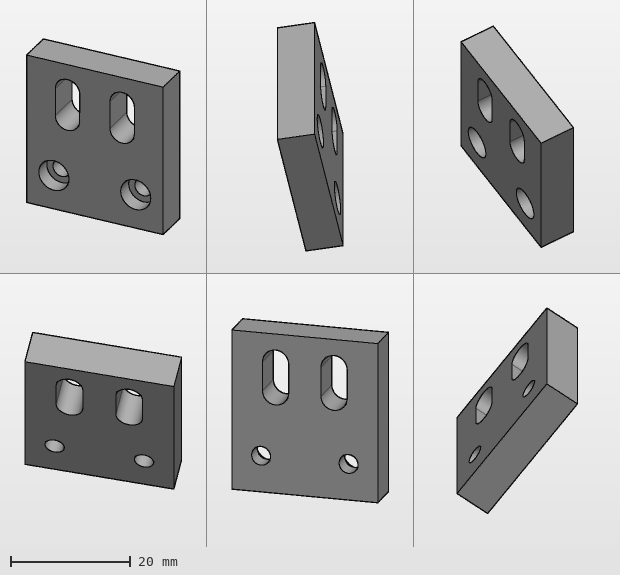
import cadquery as cq

width = 25.4
thickness = 6.35
height = 27.95

slot_spacing = 10.17
slot_width = 4.53
slot_length = 9.6
slot_center_z = 20.3

hole_spacing = 15.23
hole_center_z = 6.35
hole_diameter = 3.27
counterbore_diameter = 5.6
counterbore_depth = 3.0


def mirrored_pair(spacing, z):
    """Two points at height z, placed evenly about the middle of the plate."""
    return [(-spacing / 2, z), (spacing / 2, z)]


front = cq.Workplane("XZ")

plate = cq.Workplane("XY").box(width, thickness, height, centered=(True, False, False))

slots = (
    front.pushPoints(mirrored_pair(slot_spacing, slot_center_z))
    .slot2D(slot_length, slot_width, 90)
    .extrude(-thickness)
)


def bores(diameter, depth):
    """Two round cutters running from the front face into the plate."""
    centers = mirrored_pair(hole_spacing, hole_center_z)
    return front.pushPoints(centers).circle(diameter / 2).extrude(-depth)


screw_holes = bores(hole_diameter, thickness)
counterbores = bores(counterbore_diameter, counterbore_depth)

result = plate.cut(slots).cut(screw_holes).cut(counterbores)